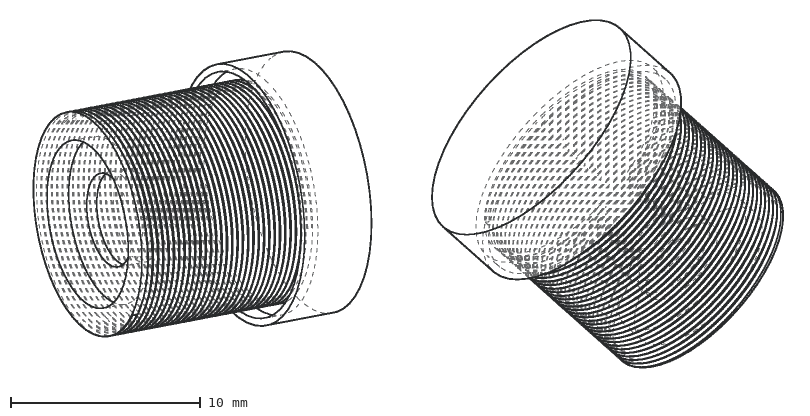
import cadquery as cq
import math

cap_radius = 7.0
cap_length = 4.0
recess_radius = 6.6
recess_depth = 1.0

overall_length = 13.2
barrel_radius = 6.0
exposed_length = overall_length - cap_length
counterbore_radius = 4.5
counterbore_depth = 1.3

groove_depth = 0.2
groove_width = 0.28
exposed_pitches = 29
recessed_turns = 3
exposed_turns = 27.9
thread_turns = exposed_turns + recessed_turns
pitch = exposed_length / exposed_pitches
cutter_overhang = 0.03

lens_radius = 2.5
lens_setback = 0.6
lens_edge_thickness = 1.0
dome_height = 0.3

recess_floor = cap_length - recess_depth
counterbore_floor = overall_length - counterbore_depth
lens_rim = counterbore_floor - lens_setback
lens_back = lens_rim - lens_edge_thickness


def disc(radius, start, end):
    """Cylinder on the local Z axis between two axial positions."""
    return cq.Workplane("XY").workplane(offset=start).circle(radius).extrude(end - start)


def face_forward(body):
    """Turn the local +Z axis toward -Y, with the back of the cap at Y = 0."""
    return body.rotate((0, 0, 0), (1, 0, 0), 90)


def make_cap():
    cap = disc(cap_radius, 0, cap_length)
    return cap.cut(disc(recess_radius, recess_floor, cap_length))


def make_thread_cutter():
    """V-shaped groove swept along a helix, widened evenly past the barrel surface."""
    start = cap_length + pitch / 2 - recessed_turns * pitch
    root_radius = barrel_radius - groove_depth
    outer_radius = barrel_radius + cutter_overhang
    half_width = groove_width / 2 * (groove_depth + cutter_overhang) / groove_depth
    helix = cq.Wire.makeHelix(pitch, pitch * thread_turns, root_radius, cq.Vector(0, 0, start))
    profile = cq.Workplane("XZ").polyline([
        (root_radius, start),
        (outer_radius, start + half_width),
        (outer_radius, start - half_width),
    ]).close()
    return profile.sweep(cq.Workplane(obj=helix), isFrenet=True)


def make_barrel():
    barrel = disc(barrel_radius, recess_floor, overall_length)
    barrel = barrel.cut(disc(counterbore_radius, counterbore_floor, overall_length))
    barrel = barrel.cut(disc(lens_radius, lens_back, counterbore_floor))
    return barrel.cut(make_thread_cutter())


def make_lens():
    dome_radius = (lens_radius**2 + dome_height**2) / (2 * dome_height)
    half_angle = math.asin(lens_radius / dome_radius) / 2
    apex = lens_rim + dome_height
    arc_middle = (
        dome_radius * math.sin(half_angle),
        apex - dome_radius * (1 - math.cos(half_angle)),
    )
    section = (
        cq.Workplane("YZ")
        .moveTo(0, lens_back)
        .lineTo(lens_radius, lens_back)
        .lineTo(lens_radius, lens_rim)
        .threePointArc(arc_middle, (0, apex))
        .close()
    )
    return section.revolve(360, (0, 0, 0), (0, 1, 0))


cap = face_forward(make_cap())
barrel = face_forward(make_barrel())
lens = face_forward(make_lens())

result = cq.Compound.makeCompound([cap.val(), barrel.val(), lens.val()])